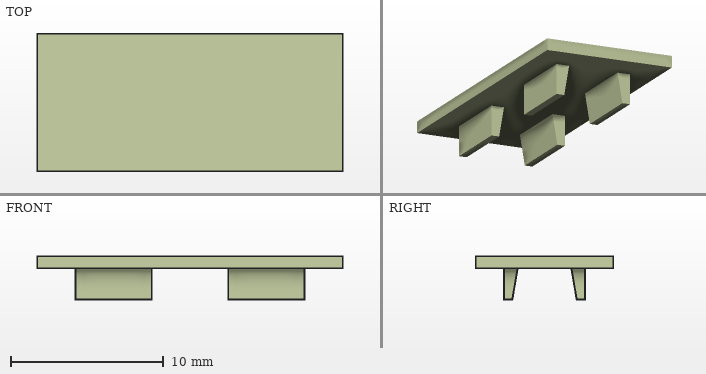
import cadquery as cq

plate_length = 20.0
plate_width = 9.0
plate_thickness = 0.8

total_height = 2.85
leg_height = total_height - plate_thickness
leg_length = 5.0
leg_spacing = 10.0
leg_outer_y = 2.65
leg_root_thickness = 0.9
leg_tip_thickness = 0.55


def make_plate():
    """Flat plate with its underside at Z = 0, centred in X and Y."""
    return cq.Workplane("XY").box(
        plate_length, plate_width, plate_thickness, centered=(True, True, False)
    )


def make_leg(center_x, side):
    """Tapered leg hanging from the plate; side is +1 or -1 along Y."""
    profile = [
        (side * leg_outer_y, 0),
        (side * (leg_outer_y - leg_root_thickness), 0),
        (side * (leg_outer_y - leg_tip_thickness), -leg_height),
        (side * leg_outer_y, -leg_height),
    ]
    start_x = center_x - leg_length / 2
    return cq.Workplane("YZ", origin=(start_x, 0, 0)).polyline(profile).close().extrude(leg_length)


result = make_plate()
for leg_x in (-leg_spacing / 2, leg_spacing / 2):
    for leg_side in (-1, 1):
        result = result.union(make_leg(leg_x, leg_side))